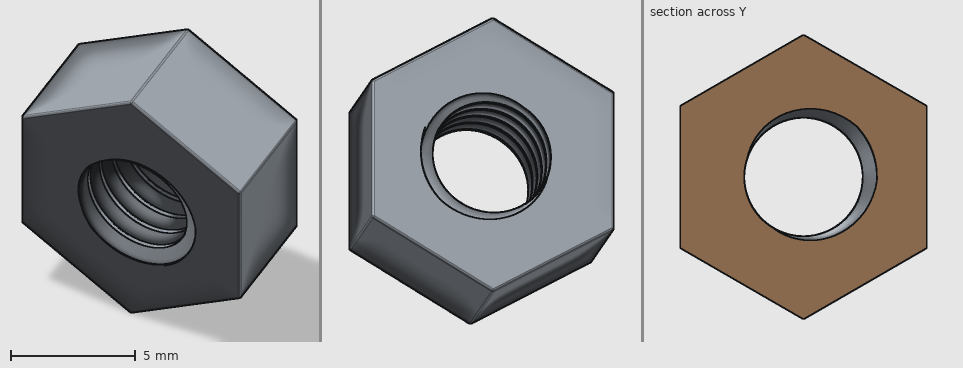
import cadquery as cq
import math

corner_height = 11.4
thickness = 5.0
edge_radius = 0.1
minor_diameter = 4.74
major_diameter = 5.88
turns_in_nut = 5
flank_angle = 30.0
thread_phase = -20.0
bore_overlap = 0.06

sharp_corner_diameter = (
    corner_height - 2 * edge_radius + 2 * edge_radius / math.cos(math.radians(30))
)
pitch = thickness / turns_in_nut
root_flat = pitch / 8


def make_blank():
    """Rounded hexagonal prism with two corners on the Y axis."""
    return (
        cq.Workplane("XY")
        .transformed(rotate=(0, 0, 90))
        .polygon(6, sharp_corner_diameter)
        .extrude(thickness)
        .edges()
        .fillet(edge_radius)
    )


def make_thread_cutter():
    """Helical groove that runs one pitch past both faces of the nut."""
    start_z = -pitch
    inner_radius = minor_diameter / 2 - bore_overlap
    root_radius = major_diameter / 2
    flank_width = (root_radius - inner_radius) * math.tan(math.radians(flank_angle))
    root_half = root_flat / 2
    mouth_half = root_half + flank_width
    path = cq.Wire.makeHelix(pitch, thickness + 2 * pitch, minor_diameter / 2)
    groove = (
        cq.Workplane("XZ")
        .polyline([
            (inner_radius, -mouth_half),
            (root_radius, -root_half),
            (root_radius, root_half),
            (inner_radius, mouth_half),
        ])
        .close()
        .sweep(cq.Workplane(obj=path), isFrenet=True)
    )
    start_angle = thread_phase - 360 * (thickness - start_z) / pitch
    return groove.translate((0, 0, start_z)).rotate((0, 0, 0), (0, 0, 1), start_angle)


bore = cq.Workplane("XY").circle(minor_diameter / 2).extrude(thickness)
nut = make_blank().cut(make_thread_cutter()).cut(bore)
result = nut.translate((0, 0, -thickness / 2)).rotate((0, 0, 0), (1, 0, 0), 90)